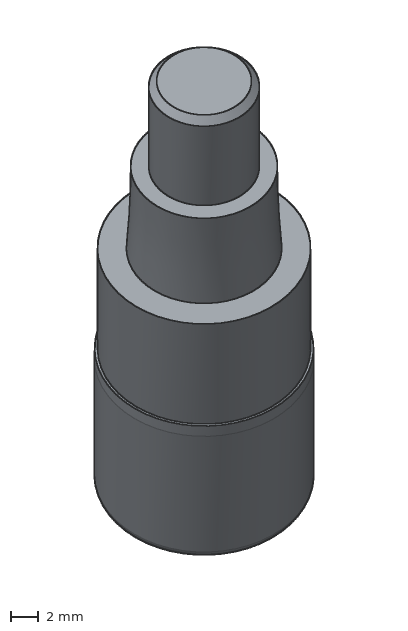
import cadquery as cq

total_height = 41.25
base_diameter = 15.9

base_height = 13.75
rim_height = 1.0
rim_taper = 0.05
bottom_fillet = 0.82

body_diameter = 15.4
body_top = 24.05
neck_bottom_diameter = 11.2
neck_top_diameter = 10.6
neck_top = 32.5
stud_diameter = 8.0
stud_chamfer_height = 0.58
stud_chamfer_width = 0.58


def make_base():
    radius = base_diameter / 2
    blank = (
        cq.Workplane("XZ")
        .lineTo(radius, 0)
        .lineTo(radius, base_height - rim_height)
        .lineTo(radius - rim_taper, base_height)
        .lineTo(0, base_height)
        .close()
        .revolve(360, (0, 0, 0), (0, 1, 0))
    )
    return blank.faces("<Z").edges().fillet(bottom_fillet)


def make_plunger():
    body_radius = body_diameter / 2
    neck_bottom_radius = neck_bottom_diameter / 2
    neck_top_radius = neck_top_diameter / 2
    stud_radius = stud_diameter / 2

    neck_middle = (body_top + neck_top) / 2
    neck_middle_radius = neck_top_radius + (neck_bottom_radius - neck_top_radius) / 4

    return (
        cq.Workplane("XZ")
        .moveTo(0, base_height)
        .lineTo(body_radius, base_height)
        .lineTo(body_radius, body_top)
        .lineTo(neck_bottom_radius, body_top)
        .threePointArc((neck_middle_radius, neck_middle), (neck_top_radius, neck_top))
        .lineTo(stud_radius, neck_top)
        .lineTo(stud_radius, total_height - stud_chamfer_height)
        .lineTo(stud_radius - stud_chamfer_width, total_height)
        .lineTo(0, total_height)
        .close()
        .revolve(360, (0, 0, 0), (0, 1, 0))
    )


base = make_base()
plunger = make_plunger()

result = cq.Compound.makeCompound([base.val(), plunger.val()])